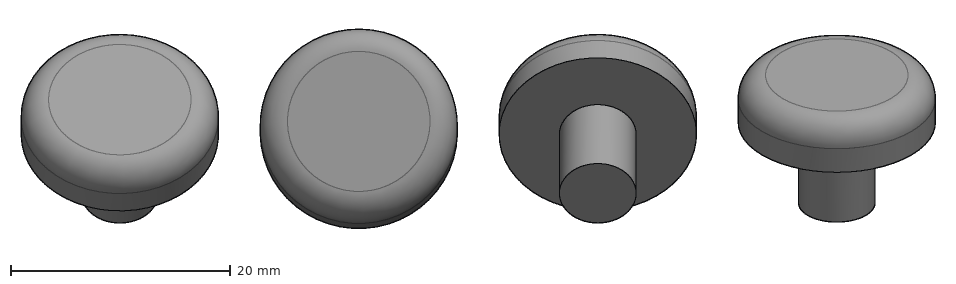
import cadquery as cq

head_diameter = 18
stem_diameter = 7.0
total_height = 13.5
head_height = 5.0

stem_length = total_height - head_height
rim_radius = head_height / 2

stem = cq.Workplane("XY").circle(stem_diameter / 2).extrude(stem_length)

head = (
    cq.Workplane("XY")
    .workplane(offset=stem_length)
    .circle(head_diameter / 2)
    .extrude(head_height)
    .faces(">Z")
    .edges()
    .fillet(rim_radius)
)

result = stem.union(head)